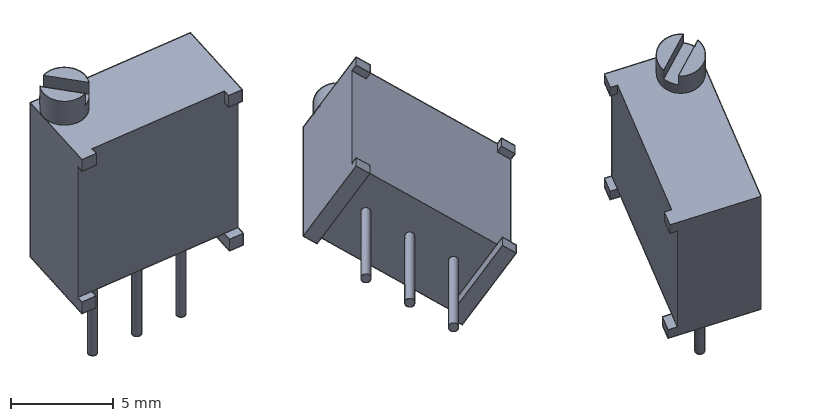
import cadquery as cq


body_depth = 4.35
body_width = 9.22
body_height = 10.4
foot_height = 0.79
foot_width = 0.8

pad_size = 0.79
wide_pad_width = 0.83
pad_reach = 0.38
long_pad_reach = 0.48

screw_diameter = 2.4
screw_height = 1.6
screw_edge_gap = 0.01
slot_width = 0.78
slot_depth = 0.8
slot_angle = 45

pin_diameter = 0.5
pin_pitch = 2.54
pin_count = 3
pin_drop = 5.54

half_width = body_width / 2
screw_x = screw_diameter / 2 + screw_edge_gap
screw_y = -half_width + screw_x
pin_x = (body_depth + long_pad_reach) / 2


def corner_box(length, width, height, x, y, z):
    """Box measured from its lowest X, Y and Z corner."""
    return cq.Workplane("XY").box(length, width, height, centered=False).translate((x, y, z))


def make_body():
    """Block with an open channel along X underneath, leaving a foot at each Y end."""
    block = corner_box(body_depth, body_width, body_height, 0, -half_width, 0)
    channel_width = body_width - 2 * foot_width
    channel = corner_box(body_depth, channel_width, foot_height, 0, -channel_width / 2, 0)
    return block.cut(channel)


def make_pad(side, bottom, width, reach):
    """Pad on a corner of the +X face; side is -1 or +1 along Y."""
    start_y = -half_width if side < 0 else half_width - width
    return corner_box(reach, width, pad_size, body_depth, start_y, bottom)


def make_screw():
    """Cylinder on the top face with a diagonal driver slot."""
    head = cq.Workplane("XY").circle(screw_diameter / 2).extrude(screw_height)
    slot = (
        cq.Workplane("XY")
        .box(2 * screw_diameter, slot_width, slot_depth, centered=(True, True, False))
        .rotate((0, 0, 0), (0, 0, 1), slot_angle)
        .translate((0, 0, screw_height - slot_depth))
    )
    return head.cut(slot).translate((screw_x, screw_y, body_height))


def make_pin(y):
    """Round lead hanging from the underside of the body."""
    return (
        cq.Workplane("XY")
        .circle(pin_diameter / 2)
        .extrude(foot_height + pin_drop)
        .translate((pin_x, y, -pin_drop))
    )


result = make_body()

upper_pad_z = body_height - pad_size
result = result.union(make_pad(-1, 0, foot_width, pad_reach))
result = result.union(make_pad(-1, upper_pad_z, wide_pad_width, pad_reach))
result = result.union(make_pad(1, upper_pad_z, pad_size, pad_reach))
result = result.union(make_pad(1, 0, foot_width, long_pad_reach))

result = result.union(make_screw())

for index in range(pin_count):
    pin_y = (index - (pin_count - 1) / 2) * pin_pitch
    result = result.union(make_pin(pin_y))